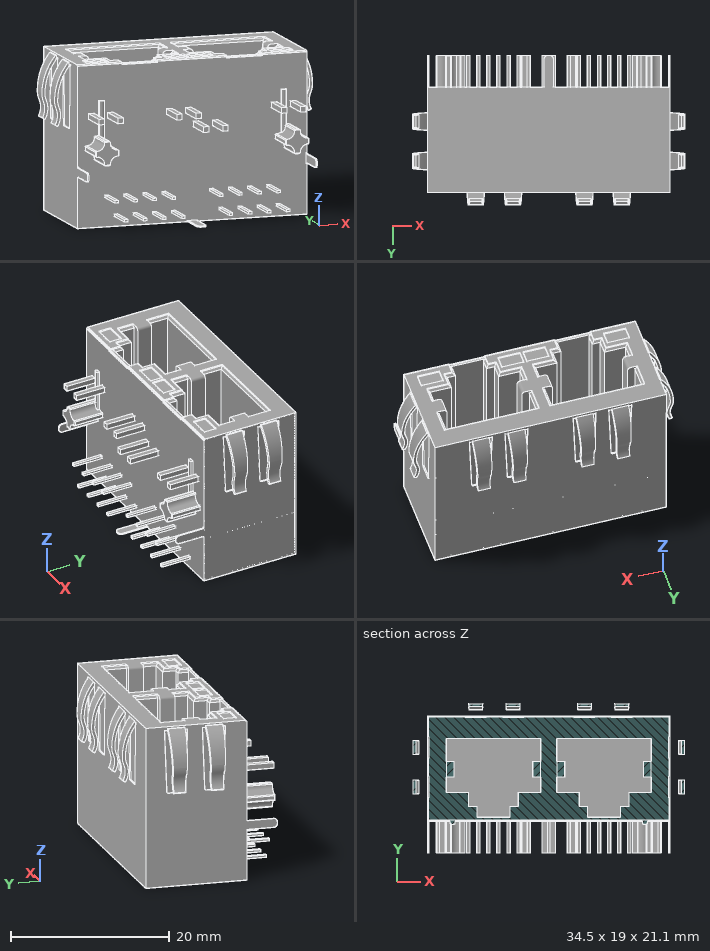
import cadquery as cq
import math


width = 30.68
depth = 13.35
height = 21.1
sheet = 0.17
edge_chamfer_y = 0.2
edge_chamfer_z = 0.17
sides = (-1, 1)
board_reach = 4.05

inner_x = (-width / 2 + sheet, width / 2 - sheet)
inner_y = (sheet, depth - sheet)
inner_z = (sheet, height - sheet)

port_x = 7.0
port_top = 10.75
port_bottom = 0.5
body_half, body_floor = 6.27, 3.35
step_half, step_floor = 3.45, 1.6
latch_half = 2.38
lead_in = 0.3
port_floor = 6.2
notch_depth = 0.3

tab_low, tab_high = 5.6, 7.6
tab_tip_half = 4.95
fold_radius = 0.48

led_width, led_height = 2.9, 1.7
led_y = 1.8
led_offset = 5.35
led_pin = 0.72
led_pin_pitch = 2.55
led_pin_offset = 5.2
led_pin_z = 14.37
led_pin_low_z = 12.55

contact_count = 8
contact_pitch = 1.28
contact_width, contact_height = 0.45, 0.3
contact_row_z = (3.95, 1.45)

post_x, post_z = 12.7, 10.25
post_half = 1.6
post_flute_radius = 1.05
post_flute_offset = 1.4
post_lead_in = 0.1
post_corner = 0.15
bead_x = 12.17
bead_width = 0.65
bead_shoulder, bead_crown = 0.28, 0.4
bead_top = 16.35

tail_width = 1.17
tail_tip_radius = 0.48
tail_root_radius = 0.15
side_tail_z = 7.25

back_spring_x = (-9.25, -4.5, 4.5, 9.25)
side_spring_y = (4.35, 9.35)
spring_thickness = 0.4
back_spring_inset = 0.3
spring_root_z = 20.85
spring_tip_z = 12.82
spring_belly, spring_belly_z = 1.9, 16.03
spring_waist = 1.48
upper_radius, belly_radius, waist_radius = 7.6, 2.75, 2.4
spring_root_width, spring_tip_width = 2.25, 1.55
spring_tip_corner = 0.4
window_top, window_bottom = 20.58, 12.3
window_top_width, window_bottom_width = 3.05, 2.4
window_corner = 0.2


def block(x, y, z):
    """Box given by its (low, high) limits along each axis."""
    size = (x[1] - x[0], y[1] - y[0], z[1] - z[0])
    return cq.Workplane("XY").box(*size, centered=False).translate((x[0], y[0], z[0]))


def mounting_pin(x, z, pin_width, pin_height):
    """Square-cut pin standing out of the mounting side, starting inside the front sheet."""
    return block(
        (x - pin_width / 2, x + pin_width / 2),
        (-board_reach, sheet),
        (z - pin_height / 2, z + pin_height / 2),
    )


def port_outline(x, inset, z):
    """Stepped port outline, moved inward by inset except at the latch slot bottom."""
    right_side = [
        (latch_half - inset, port_bottom),
        (latch_half - inset, step_floor + inset),
        (step_half - inset, step_floor + inset),
        (step_half - inset, body_floor + inset),
        (body_half - inset, body_floor + inset),
        (body_half - inset, port_top - inset),
    ]
    left_side = [(-px, py) for px, py in reversed(right_side)]
    points = [(x + px, py) for px, py in right_side + left_side]
    return cq.Workplane("XY").workplane(offset=z).polyline(points).close()



def locating_post(x):
    """Square post hollowed by four round flutes, with beveled arm ends and tip."""
    flutes = (
        cq.Workplane("XZ")
        .rect(2 * post_flute_offset, 2 * post_flute_offset, forConstruction=True)
        .vertices()
        .circle(post_flute_radius)
        .extrude(board_reach + sheet)
    )
    post = cq.Workplane("XZ").rect(2 * post_half, 2 * post_half).extrude(board_reach + sheet)
    post = post.cut(flutes)
    for arm_end in ("<X", ">X", "<Z", ">Z"):
        post = post.faces(arm_end).edges("|Y").chamfer(post_corner)
    post = post.faces("<Y").edges("<X or >X or <Z or >Z").chamfer(post_lead_in)
    return post.translate((x, sheet, post_z))


def housing_mounts():
    """Locating posts and indicator pins, all standing on the housing."""
    mounts = [locating_post(sign * post_x) for sign in sides]
    for port_sign in sides:
        for side in sides:
            inner_low_pair = port_sign == 1 and side == -1
            z = led_pin_low_z if inner_low_pair else led_pin_z
            pair_x = port_sign * port_x + side * led_pin_offset
            for pin_side in sides:
                x = pair_x + pin_side * led_pin_pitch / 2
                mounts.append(mounting_pin(x, z, led_pin, led_pin))
    return mounts


def contact_pins():
    """Two staggered rows of thin pins behind each port."""
    pins = []
    for sign in sides:
        for i in range(contact_count):
            x = sign * port_x + (i - (contact_count - 1) / 2) * contact_pitch
            pins.append(mounting_pin(x, contact_row_z[i % 2], contact_width, contact_height))
    return pins



def spring_profile():
    """Bent strip of constant thickness in the plane of distance from the wall and Z."""
    bend = belly_radius + waist_radius
    drop = spring_belly - spring_waist
    waist_z = spring_belly_z - math.sqrt(bend**2 - (bend - drop) ** 2)
    upper_centre = (spring_belly - upper_radius, spring_belly_z)
    belly_centre = (spring_belly - belly_radius, spring_belly_z)
    waist_centre = (spring_waist + waist_radius, waist_z)
    swing = math.atan2(spring_belly_z - waist_z, bend - drop)
    tip_swing = math.asin((waist_z - spring_tip_z) / waist_radius)

    def at(centre, radius, angle):
        return (centre[0] + radius * math.cos(angle), centre[1] + radius * math.sin(angle))

    inner_upper = upper_radius - spring_thickness
    inner_belly = belly_radius - spring_thickness
    inner_waist = waist_radius + spring_thickness
    root_angle = math.asin((spring_root_z - spring_belly_z) / upper_radius)
    wall_angle = math.acos(-upper_centre[0] / inner_upper)
    wall_point = at(upper_centre, inner_upper, wall_angle)
    return (
        cq.Workplane("YZ")
        .moveTo(-sheet, spring_root_z)
        .lineTo(*at(upper_centre, upper_radius, root_angle))
        .threePointArc(at(upper_centre, upper_radius, root_angle / 2), (spring_belly, spring_belly_z))
        .threePointArc(at(belly_centre, belly_radius, -swing / 2), at(belly_centre, belly_radius, -swing))
        .threePointArc(
            at(waist_centre, waist_radius, math.pi - swing / 2 + tip_swing / 2),
            at(waist_centre, waist_radius, math.pi + tip_swing),
        )
        .lineTo(*at(waist_centre, inner_waist, math.pi + tip_swing))
        .threePointArc(
            at(waist_centre, inner_waist, math.pi - swing / 2 + tip_swing / 2),
            at(belly_centre, inner_belly, -swing),
        )
        .threePointArc(
            at(belly_centre, inner_belly, -swing / 2),
            (spring_belly - spring_thickness, spring_belly_z),
        )
        .threePointArc(at(upper_centre, inner_upper, wall_angle / 2), wall_point)
        .lineTo(-sheet, wall_point[1])
        .close()
    )


def tapered_plate(bottom_z, bottom_width, top_z, top_width, near_y, far_y):
    """Upright plate, symmetric about X = 0, whose width changes from bottom to top."""
    points = [
        (-bottom_width / 2, bottom_z),
        (bottom_width / 2, bottom_z),
        (top_width / 2, top_z),
        (-top_width / 2, top_z),
    ]
    plate = cq.Workplane("XZ").polyline(points).close().extrude(near_y - far_y)
    return plate.translate((0, near_y, 0))


def spring(inset):
    """Spring on a wall whose outer face is Y = 0, bulging toward +Y, moved into the wall by inset."""
    strip = spring_profile().extrude(spring_root_width / 2, both=True)
    taper = tapered_plate(
        spring_tip_z - spring_thickness,
        spring_tip_width,
        spring_root_z,
        spring_root_width,
        -sheet,
        spring_belly + spring_thickness,
    )
    taper = taper.edges("|Y").edges("<Z").fillet(spring_tip_corner)
    outside_housing = block((-width, width), (-sheet, depth), (0, height))
    return strip.intersect(taper).translate((0, -inset, 0)).intersect(outside_housing)


def spring_window():
    """Tapered opening in a wall whose outer face is Y = 0."""
    window = tapered_plate(window_bottom, window_bottom_width, window_top, window_top_width, -sheet, 0)
    return window.edges("|Y").edges("<Z").fillet(window_corner)


def on_spring_walls(back_shape, side_shape):
    """Copies of a wall feature at every spring place on the back wall and both side walls."""
    copies = [back_shape.translate((x, depth, 0)) for x in back_spring_x]
    for sign in sides:
        turned = side_shape.rotate((0, 0, 0), (0, 0, 1), -90 * sign)
        copies += [turned.translate((sign * width / 2, y, 0)) for y in side_spring_y]
    return copies


def tail():
    """Flat board tail in the XY plane with flared root and rounded tip."""
    half = tail_width / 2
    root = half + tail_root_radius
    return (
        cq.Workplane("XY")
        .moveTo(-root, sheet)
        .lineTo(-root, 0)
        .radiusArc((-half, -tail_root_radius), tail_root_radius)
        .lineTo(-half, -board_reach + tail_tip_radius)
        .radiusArc((-half + tail_tip_radius, -board_reach), -tail_tip_radius)
        .lineTo(half - tail_tip_radius, -board_reach)
        .radiusArc((half, -board_reach + tail_tip_radius), -tail_tip_radius)
        .lineTo(half, -tail_root_radius)
        .radiusArc((root, 0), tail_root_radius)
        .lineTo(root, sheet)
        .close()
        .extrude(sheet)
    )


def board_tails():
    """One tail on each side wall and one in the middle of the rear wall."""
    upright = tail().rotate((0, 0, 0), (0, 1, 0), -90).translate((0, 0, side_tail_z))
    left = upright.translate((-width / 2 + sheet, 0, 0))
    right = upright.translate((width / 2, 0, 0))
    return [tail(), left, right]


def port_tab(x, side):
    """Tab that rounds over the opening edge and fills down to the port floor along its wall."""
    flat_end = tab_tip_half + fold_radius
    fold_centre_z = height - fold_radius
    fold_middle = fold_radius * math.sqrt(0.5)
    port_wall = body_half - lead_in
    tab = (
        cq.Workplane("XZ")
        .moveTo(body_half, height)
        .lineTo(flat_end, height)
        .threePointArc((flat_end - fold_middle, fold_centre_z + fold_middle), (tab_tip_half, fold_centre_z))
        .lineTo(tab_tip_half, port_floor)
        .lineTo(port_wall, port_floor)
        .lineTo(port_wall, height - sheet - lead_in)
        .lineTo(body_half, height - sheet)
        .close()
        .extrude(tab_low - tab_high)
        .translate((0, tab_low, 0))
    )
    if side == -1:
        tab = tab.mirror("YZ")
    return tab.translate((x, 0, 0))


def beads():
    """Crowned beads on the mounting side, each running down to its post."""
    half = bead_width / 2
    bead = (
        cq.Workplane("XY", origin=(0, 0, post_z))
        .moveTo(-half, sheet)
        .lineTo(-half, -bead_shoulder)
        .threePointArc((0, -bead_crown), (half, -bead_shoulder))
        .lineTo(half, sheet)
        .close()
        .extrude(bead_top - post_z)
    )
    return [bead.translate((sign * bead_x, 0, 0)) for sign in sides]


def shield():
    """Hollow box with openings, springs, tails, tabs and beads."""
    body = block((-width / 2, width / 2), (0, depth), (0, height))
    edge_wedge = (
        cq.Workplane("YZ")
        .polyline([(0, height), (edge_chamfer_y, height), (0, height - edge_chamfer_z)])
        .close()
        .extrude(width / 2, both=True)
    )
    body = body.cut(block(inner_x, inner_y, inner_z))
    body = body.cut(edge_wedge)
    window_shape = spring_window()
    for window in on_spring_walls(window_shape, window_shape):
        body = body.cut(window)
    for sign in sides:
        x = sign * port_x
        body = body.cut(port_outline(x, 0, height - sheet).extrude(sheet))
        notch_x = (x - latch_half, x + latch_half)
        body = body.cut(block(notch_x, (0, sheet), (height - notch_depth, height)))
        body = body.cut(block(notch_x, (0, port_bottom), (height - sheet, height)))
        for side in sides:
            led_x = x + side * led_offset
            body = body.cut(
                block(
                    (led_x - led_width / 2, led_x + led_width / 2),
                    (led_y - led_height / 2, led_y + led_height / 2),
                    (height - sheet, height),
                )
            )
            body = body.union(port_tab(x, side))
    for added in on_spring_walls(spring(back_spring_inset), spring(0)) + board_tails() + beads():
        body = body.union(added)
    for passing in housing_mounts() + contact_pins():
        body = body.cut(passing)
    return body


def housing():
    """Block filling the upper part of the shield, with both ports running through it."""
    top = inner_z[1]
    body = block(inner_x, inner_y, (port_floor, top))
    for sign in sides:
        x = sign * port_x
        body = body.cut(port_outline(x, lead_in, port_floor).extrude(top - port_floor))
        wires = [port_outline(x, inset, top - inset).val() for inset in (lead_in, 0)]
        body = body.cut(cq.Workplane(cq.Solid.makeLoft(wires, True)))
    for mount in housing_mounts():
        body = body.union(mount)
    return body


def contact_block():
    """Block behind both ports; its top is the floor of the plug cavities."""
    body = block(inner_x, inner_y, (inner_z[0], port_floor))
    for pin in contact_pins():
        body = body.union(pin)
    return body


result = cq.Compound.makeCompound([shield().val(), housing().val(), contact_block().val()])